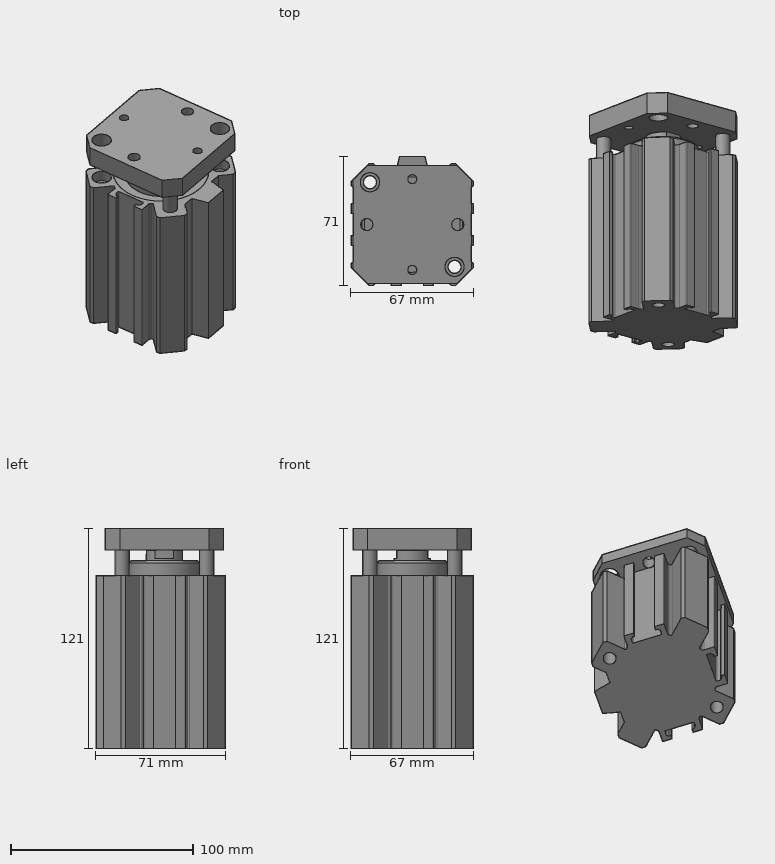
import cadquery as cq

total_height = 121.0
plate_thickness = 12.0
housing_height = 95.0
plate_bottom = total_height - plate_thickness

housing_half_width = 33.5
floor_distance = 27.8
post_corner = 23.7
post_flat_end = 21.4
rib_inner = 6.0
rib_outer = 11.6
rib_corner_fillet = 0.4
slot_half_width = 8.5
lip_thickness = 2.0
lip_bevel = 1.2
pocket_end = 38.5
pocket_rib_fillet = 1.2
pocket_post_fillet = 0.7
slot_corner_fillet = 0.5

post_line = housing_half_width - post_flat_end
mouth = housing_half_width + 1.2

rail_top = 37.5
rail_top_half_width = 7.0
rail_base_half_width = 9.3

corner_offset = 23.2
clamp_hole_diameter = 7.0
counterbore_diameter = 10.5
counterbore_depth = 6.5
cover_recess_diameter = 52.5
cover_recess_depth = 2.0
cover_diameter = 39.0
cover_height = 8.2
cover_chamfer = 1.2
cover_top = housing_height + cover_height

rod_diameter = 20.0
rod_flat_distance = 8.6
rod_flat_start = 1.2
rod_end_chamfer = 0.4
guide_rod_diameter = 8.0
plate_size = 65.0
plate_chamfer = 8.0
tool_hole_offset = 24.9
x_tool_hole_diameter = 6.5
y_tool_hole_diameter = 5.0

guide_corners = [(-corner_offset, -corner_offset), (corner_offset, corner_offset)]
clamp_corners = [(-corner_offset, corner_offset), (corner_offset, -corner_offset)]


def prism(points, height):
    return cq.Workplane("XY").polyline(points).close().extrude(height)


def bevelled_block(half_width, corner, height):
    """Square block whose vertical edges are cut at 45 degrees."""
    block = cq.Workplane("XY").rect(2 * half_width, 2 * half_width).extrude(height)
    return block.edges("|Z").chamfer(half_width - corner)


def mirrored(points):
    """The outline followed by its mirror image across the Y axis."""
    return points + [(-x, y) for x, y in reversed(points)]


def t_slot():
    """T-slot open towards -Y."""
    lip_back = -(housing_half_width - lip_thickness)
    outline = mirrored([
        (rib_inner, -mouth),
        (rib_inner, lip_back),
        (slot_half_width - lip_bevel, lip_back),
        (slot_half_width, lip_back + lip_bevel),
        (slot_half_width, -floor_distance),
    ])
    slot = prism(outline, housing_height)
    return slot.edges("|Z and >Y").fillet(slot_corner_fillet)


def post_pocket():
    """Pocket open towards -Y, between a rib and the diagonal wall of the +X post."""
    post_corner_x = (pocket_end - post_line) / 2
    pocket = prism([
        (rib_outer, -mouth),
        (rib_outer, rib_outer - pocket_end),
        (post_corner_x, post_corner_x - pocket_end),
        (mouth - post_line, -mouth),
    ], housing_height)
    pocket = pocket.edges("|Z").edges(">>Y[-2]").fillet(pocket_rib_fillet)
    return pocket.edges("|Z and >Y").fillet(pocket_post_fillet)


def wide_groove():
    """Groove open towards -Y that spans the whole side between two posts."""
    return prism(mirrored([
        (mouth - post_line, -mouth),
        (floor_distance - post_line, -floor_distance),
    ]), housing_height)


def about_axis(shape, angle):
    return shape.rotate((0, 0, 0), (0, 0, 1), angle)


def make_housing():
    housing = bevelled_block(housing_half_width, post_corner, housing_height)

    pocket = post_pocket()
    for angle in (0, 90, 270):
        for cutter in (t_slot(), pocket, pocket.mirror("YZ")):
            housing = housing.cut(about_axis(cutter, angle))

    mid_height = housing_height / 2
    for side in (-1, 1):
        rib_corners = [
            (side * rib_outer, -housing_half_width, mid_height),
            (housing_half_width, side * rib_outer, mid_height),
            (-housing_half_width, side * rib_outer, mid_height),
        ]
        for corner in rib_corners:
            nearest = cq.selectors.NearestToPointSelector(corner)
            housing = housing.edges(nearest).fillet(rib_corner_fillet)

    housing = housing.cut(about_axis(wide_groove(), 180))
    rail_outline = mirrored([(rail_base_half_width, floor_distance), (rail_top_half_width, rail_top)])
    housing = housing.union(prism(rail_outline, housing_height))

    housing = (
        housing.faces(">Z").workplane(origin=(0, 0, 0)).pushPoints(clamp_corners)
        .cboreHole(clamp_hole_diameter, counterbore_diameter, counterbore_depth)
    )

    recess_floor = cq.Workplane("XY").workplane(offset=housing_height - cover_recess_depth)
    housing = housing.cut(recess_floor.circle(cover_recess_diameter / 2).extrude(cover_recess_depth))
    cover = recess_floor.circle(cover_diameter / 2).extrude(cover_height + cover_recess_depth)
    return housing.union(cover.faces(">Z").edges().chamfer(cover_chamfer))


def make_tool_plate():
    plate_half = plate_size / 2
    plate = bevelled_block(plate_half, plate_half - plate_chamfer, plate_thickness)
    plate = plate.translate((0, 0, plate_bottom))

    rod_length = plate_bottom - cover_top
    flat_length = rod_length - rod_flat_start
    rod = cq.Workplane("XY").workplane(offset=cover_top).circle(rod_diameter / 2).extrude(rod_length)
    rod = rod.faces(">Z").edges().chamfer(rod_end_chamfer)
    flat_plane = cq.Workplane("XY").workplane(offset=cover_top + rod_flat_start)
    flat_stock = flat_plane.rect(2 * rod_diameter, rod_diameter).extrude(flat_length)
    flat_core = flat_plane.rect(2 * rod_flat_distance, rod_diameter).extrude(flat_length)
    rod = rod.cut(flat_stock.cut(flat_core))

    guide_rods = (
        cq.Workplane("XY").workplane(offset=housing_height).pushPoints(guide_corners)
        .circle(guide_rod_diameter / 2).extrude(plate_bottom - housing_height)
    )
    plate = plate.union(rod).union(guide_rods)

    hole_groups = [
        (clamp_corners, counterbore_diameter),
        ([(-tool_hole_offset, 0), (tool_hole_offset, 0)], x_tool_hole_diameter),
        ([(0, -tool_hole_offset), (0, tool_hole_offset)], y_tool_hole_diameter),
    ]
    top = cq.Workplane("XY").workplane(offset=plate_bottom)
    for places, diameter in hole_groups:
        plate = plate.cut(top.pushPoints(places).circle(diameter / 2).extrude(plate_thickness))
    return plate


housing = make_housing()
tool_plate = make_tool_plate()

result = cq.Compound.makeCompound([housing.val(), tool_plate.val()])